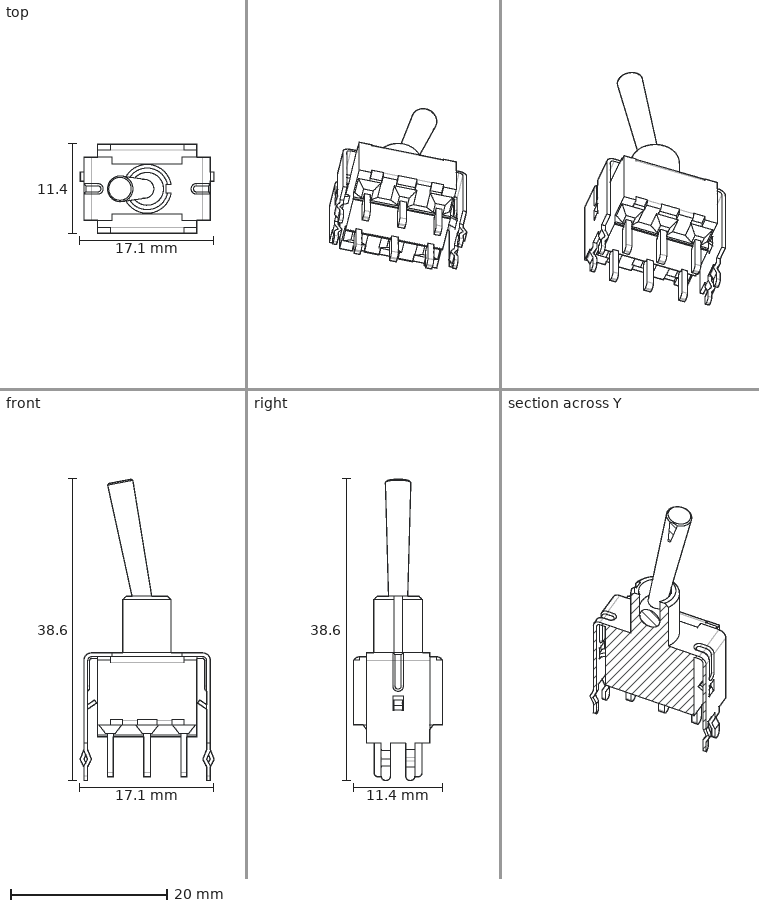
import cadquery as cq
import math


total_height = 38.58

case_length = 12.75
case_width = 11.42
case_top = 15.85
case_bottom = 7.15
panel_half_length = 4.7
shoulder = 0.77
ledge_drop = 0.42
notch_height = 0.7
notch_floor_y = 4.5
tab_inner_x = 1.25
tab_outer_x = 3.15
tab_rounding = 0.7
tab_rounding_cut = 0.1

keel_half_width = 2.43
keel_bottom = 5.6
keel_lip_height = 0.25
keel_lip_inset = 0.25

terminal_pitch = 4.7
terminal_outer_y = 3.1
terminal_width = 1.3
terminal_rounding = 0.58
terminal_tip = 0.45
end_terminal_thickness = 0.77
middle_terminal_thickness = 0.9
boss_drop = 1.08
boss_top_length = 2.97
boss_tip_length = 1.27
boss_tip_y = 3.7

sheet = 0.5
bracket_length = 16.2
bracket_width = 8.1
bracket_bottom = 4.8
bend_radius = 1.0
waist_half_length = 4.48
waist_width = 6.4

rib_depth = 0.25
rib_width = 1.35
rib_floor_width = 0.77
rib_start_x = 5.65
rib_end_z = 11.42

window_width = 1.35
window_bottom = 8.95
window_top = 10.85
spring_width = 1.08
spring_root_z = 9.03
spring_bend_z = 9.6
spring_tip_x = 6.45
spring_tip_z = 9.9
spring_angle = 34.0

leg_width = 1.2
leg_gap = 1.93
leg_rounding = 0.58
bow_center_z = 2.85
bow_crown_z = 2.75
bow_height = 0.45
bow_half_length = 1.1
bow_hollow_half_length = 1.0
bow_crown_half_length = 0.25
bow_crown_rise = 0.08

bushing_radius = 3.12
bushing_top = 23.6
bushing_chamfer = 0.45
keyway_width = 1.08
keyway_floor_x = 2.4

ball_diameter = 4.2
pivot_z = 20.1
lever_tilt = 10.8
lever_root_radius = 1.15
lever_tip_radius = 1.65
lever_chamfer = 0.2

case_half_width = case_width / 2
bracket_top = case_top + sheet
bracket_half_length = bracket_length / 2
bracket_inner_x = bracket_half_length - sheet
terminal_row_y = terminal_outer_y - terminal_width / 2
leg_row_y = (leg_gap + leg_width) / 2
rib_half_width = rib_width / 2
rib_floor_half_width = rib_floor_width / 2
ball_radius = ball_diameter / 2
tilt = math.radians(lever_tilt)
tip_face_radius = lever_tip_radius - lever_chamfer
lever_reach = (total_height - pivot_z - tip_face_radius * math.sin(tilt)) / math.cos(tilt)


def block(x_min, x_max, y_min, y_max, z_min, z_max):
    """Box given by its limits on each axis."""
    size = (x_max - x_min, y_max - y_min, z_max - z_min)
    return cq.Workplane("XY").box(*size, centered=False).translate((x_min, y_min, z_min))


def centered_block(length, width, z_min, z_max):
    """Box centered on the Z axis."""
    return block(-length / 2, length / 2, -width / 2, width / 2, z_min, z_max)


def on_both_ends(shape):
    """The +X shape together with its mirror image on the -X end."""
    return shape.union(shape.mirror("YZ"))


def on_both_sides(shape):
    """The -Y shape together with its mirror image on the +Y side."""
    return shape.union(shape.mirror("XZ"))


def make_case():
    panel = centered_block(2 * panel_half_length, case_width, case_bottom - tab_rounding_cut, case_top)
    panel = panel.faces(">Z").edges("|X").fillet(shoulder)
    panel = panel.faces("<Z").edges("|X").fillet(tab_rounding)
    panel = panel.intersect(centered_block(case_length, case_width, case_bottom, case_top))
    for x_min, x_max in (
        (-panel_half_length, -tab_outer_x),
        (-tab_inner_x, tab_inner_x),
        (tab_outer_x, panel_half_length),
    ):
        notch = block(
            x_min, x_max, -case_half_width, -notch_floor_y, case_bottom, case_bottom + notch_height
        )
        panel = panel.cut(on_both_sides(notch))

    end = block(
        panel_half_length, case_length / 2, -case_half_width, case_half_width, case_bottom, case_top
    )
    ledge = block(
        panel_half_length, case_length / 2, -case_half_width, shoulder - case_half_width,
        case_top - ledge_drop, case_top,
    )
    end = end.cut(on_both_sides(ledge))
    return panel.union(on_both_ends(end))


def make_keel():
    lip_top = keel_bottom + keel_lip_height
    keel = centered_block(case_length, 2 * keel_half_width, lip_top, case_bottom)
    lip_width = 2 * (keel_half_width - keel_lip_inset)
    return keel.union(centered_block(case_length, lip_width, keel_bottom, lip_top))


def make_boss(x):
    """Tapered boss hanging from the -Y half of the case, narrowing downward."""
    return (
        cq.Workplane("XY", origin=(x, 0, case_bottom))
        .center(0, -notch_floor_y / 2)
        .rect(boss_top_length, notch_floor_y)
        .workplane(offset=-boss_drop)
        .center(0, (notch_floor_y - boss_tip_y) / 2)
        .rect(boss_tip_length, boss_tip_y)
        .loft(ruled=True)
    )


def make_terminal(x, thickness):
    blade = cq.Workplane("XY").box(
        thickness, terminal_width, case_bottom - terminal_tip, centered=(True, True, False)
    )
    blade = blade.faces("<Z").edges("|X").fillet(terminal_rounding)
    return blade.translate((x, -terminal_row_y, terminal_tip))


def make_bracket_shell():
    """Inverted U of sheet with rounded outer and inner bends."""
    outer = centered_block(bracket_length, bracket_width, bracket_bottom, bracket_top)
    outer = outer.faces(">Z").edges("|Y").fillet(bend_radius)
    inner = centered_block(2 * bracket_inner_x, bracket_width, bracket_bottom, case_top)
    inner = inner.faces(">Z").edges("|Y").fillet(bend_radius - sheet)
    shell = outer.cut(inner)
    side_relief = block(
        -waist_half_length, waist_half_length, -bracket_width / 2, -waist_width / 2, case_top, bracket_top
    )
    return shell.cut(on_both_sides(side_relief))


def make_rib(inset):
    """Tapered bead with round ends around the +X bend, sunk inward from a skin at the given inset."""
    skin_x = bracket_half_length - inset
    skin_z = bracket_top - inset
    radius = bend_radius - inset
    start_x = rib_start_x + rib_half_width
    end_z = rib_end_z + rib_half_width
    path = (
        cq.Workplane("XZ")
        .moveTo(start_x, skin_z)
        .lineTo(skin_x - radius, skin_z)
        .radiusArc((skin_x, skin_z - radius), radius)
        .lineTo(skin_x, end_z)
    )
    section = [
        (-rib_half_width, 0),
        (rib_half_width, 0),
        (rib_floor_half_width, -rib_depth),
        (-rib_floor_half_width, -rib_depth),
    ]
    bead = cq.Workplane("YZ", origin=(start_x, 0, skin_z)).polyline(section).close().sweep(path)
    for position, direction in (
        ((start_x, 0, skin_z), (0, 0, -1)),
        ((skin_x, 0, end_z), (-1, 0, 0)),
    ):
        round_end = cq.Solid.makeCone(
            rib_half_width, rib_floor_half_width, rib_depth, cq.Vector(*position), cq.Vector(*direction)
        )
        bead = bead.union(cq.Workplane(round_end))
    return bead


def make_spring_tab():
    """Tab bent inward and upward from the +X bracket side; its tip stays clear of the case."""
    angle = math.radians(spring_angle)
    slope = math.tan(angle)
    tip_upper = (spring_tip_x + sheet * math.sin(angle), spring_tip_z + sheet * math.cos(angle))
    bend_x = tip_upper[0] + (tip_upper[1] - spring_bend_z) / slope
    root_x = spring_tip_x + (spring_tip_z - spring_root_z) / slope
    outline = [
        (spring_tip_x, spring_tip_z),
        tip_upper,
        (bend_x, spring_bend_z),
        (bracket_half_length, spring_root_z),
        (bracket_half_length, window_bottom - sheet),
        (bracket_inner_x, window_bottom - sheet),
        (root_x, spring_root_z),
    ]
    return cq.Workplane("XZ").polyline(outline).close().extrude(spring_width / 2, both=True)


def make_leg():
    """Bracket leg on the +X end whose bow bulges outward, centered on Y = 0."""
    outer_x = bracket_half_length
    shoulder_x = outer_x + bow_height - bow_crown_rise
    strip = (
        cq.Workplane("XZ")
        .moveTo(outer_x, bracket_bottom)
        .lineTo(outer_x, bow_center_z + bow_half_length)
        .lineTo(shoulder_x, bow_crown_z + bow_crown_half_length)
        .threePointArc(
            (outer_x + bow_height, bow_crown_z), (shoulder_x, bow_crown_z - bow_crown_half_length)
        )
        .lineTo(outer_x, bow_center_z - bow_half_length)
        .lineTo(outer_x, 0)
        .lineTo(bracket_inner_x, 0)
        .lineTo(bracket_inner_x, bow_center_z - bow_hollow_half_length)
        .lineTo(bracket_inner_x + bow_height, bow_crown_z)
        .lineTo(bracket_inner_x, bow_center_z + bow_hollow_half_length)
        .lineTo(bracket_inner_x, bracket_bottom)
        .close()
        .extrude(leg_width / 2, both=True)
    )
    return strip.faces("<Z").edges("|X").fillet(leg_rounding)


def make_leg_pair():
    """The +Y leg bows outward and the -Y leg bows inward."""
    outward = make_leg()
    inward = outward.mirror("YZ", (bracket_half_length - sheet / 2, 0, 0))
    return outward.translate((0, leg_row_y, 0)).union(inward.translate((0, -leg_row_y, 0)))


def make_bracket():
    window = block(
        bracket_inner_x, bracket_half_length, -window_width / 2, window_width / 2, window_bottom, window_top
    )
    bracket = make_bracket_shell().cut(on_both_ends(window))
    bracket = bracket.union(on_both_ends(make_spring_tab()))
    bracket = bracket.union(on_both_ends(make_leg_pair()))
    return bracket.union(on_both_ends(make_rib(sheet)))


def make_bushing():
    bushing = cq.Workplane("XY", origin=(0, 0, case_top)).circle(bushing_radius)
    bushing = bushing.extrude(bushing_top - case_top).faces(">Z").edges().chamfer(bushing_chamfer)
    keyway = block(
        keyway_floor_x, bushing_radius, -keyway_width / 2, keyway_width / 2, bracket_top, bushing_top
    )
    return bushing.cut(keyway)


def make_ball():
    return cq.Workplane("XY", origin=(0, 0, pivot_z)).sphere(ball_radius)


def make_housing():
    housing = make_case().union(make_keel())
    for column in (-1, 0, 1):
        x = column * terminal_pitch
        thickness = middle_terminal_thickness if column == 0 else end_terminal_thickness
        housing = housing.union(on_both_sides(make_boss(x)))
        housing = housing.union(on_both_sides(make_terminal(x, thickness)))
    housing = housing.union(make_bracket()).union(make_bushing())
    housing = housing.cut(on_both_ends(make_rib(0)))

    bore = cq.Workplane("XY", origin=(0, 0, pivot_z)).circle(ball_radius).extrude(bushing_top - pivot_z)
    return housing.cut(bore.union(make_ball()))


def make_lever():
    stick = cq.Solid.makeCone(lever_root_radius, lever_tip_radius, lever_reach, cq.Vector(0, 0, pivot_z))
    stick = cq.Workplane(stick).faces(">Z").edges().chamfer(lever_chamfer)
    stick = stick.rotate((0, 0, pivot_z), (0, 1, pivot_z), -lever_tilt)
    return stick.union(make_ball())


housing = make_housing()
lever = make_lever()
result = cq.Compound.makeCompound([housing.solids().val(), lever.solids().val()])